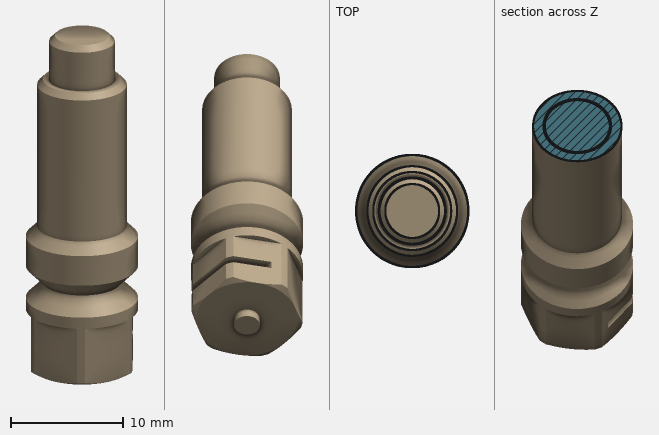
import cadquery as cq
import math

total_height = 32.5
head_bottom_z = 0.85
hex_top_z = 6.37
lower_collar_top_z = 7.45
neck_z = 8.97
upper_collar_top_z = 13.32
sleeve_top_z = 28.35

body_radius = 5.0
sleeve_radius = 4.0
neck_radius = 3.48
tip_radius = 2.92
stub_radius = 1.15
edge_chamfer = 0.52

tip_clearance = 0.05
clearance_depth = 0.98

across_flats = 9.0
head_chamfer_angle = math.radians(30)

slot_bottom_z = 3.05
slot_height = 0.78
slot_end_y = 1.15


def turned_body():
    """Revolve the head blank, 45-degree V groove, collar, sleeve and tip about Z."""
    head_bottom_radius = across_flats / 2
    head_chamfer_height = (body_radius - head_bottom_radius) * math.tan(head_chamfer_angle)
    groove_depth = body_radius - neck_radius
    shoulder_height = body_radius - sleeve_radius
    profile = [
        (0, 0),
        (stub_radius, 0),
        (stub_radius, head_bottom_z),
        (head_bottom_radius, head_bottom_z),
        (body_radius, head_bottom_z + head_chamfer_height),
        (body_radius, lower_collar_top_z),
        (neck_radius, neck_z),
        (body_radius, neck_z + groove_depth),
        (body_radius, upper_collar_top_z),
        (sleeve_radius, upper_collar_top_z + shoulder_height),
        (sleeve_radius, sleeve_top_z - edge_chamfer),
        (sleeve_radius - edge_chamfer, sleeve_top_z),
        (tip_radius + tip_clearance, sleeve_top_z),
        (tip_radius + tip_clearance, sleeve_top_z - clearance_depth),
        (tip_radius, sleeve_top_z - clearance_depth),
        (tip_radius, total_height - edge_chamfer),
        (tip_radius - edge_chamfer, total_height),
        (0, total_height),
    ]
    return cq.Workplane("XZ").polyline(profile).close().revolve(360, (0, 0), (0, 1))


def hex_flats_cutter():
    """Material outside the hexagon, whose corners lie on the X axis."""
    head_height = hex_top_z - head_bottom_z
    corner_diameter = across_flats / math.cos(math.pi / 6)
    return (
        cq.Workplane("XY")
        .workplane(offset=head_bottom_z)
        .circle(corner_diameter)
        .polygon(6, corner_diameter)
        .extrude(head_height)
    )


def slot_cutter():
    """Slot running through the head along X and open towards +Y."""
    return cq.Workplane("XY").box(
        2 * body_radius, body_radius - slot_end_y, slot_height, centered=(True, False, False)
    ).translate((0, slot_end_y, slot_bottom_z))


result = turned_body().cut(hex_flats_cutter()).cut(slot_cutter())